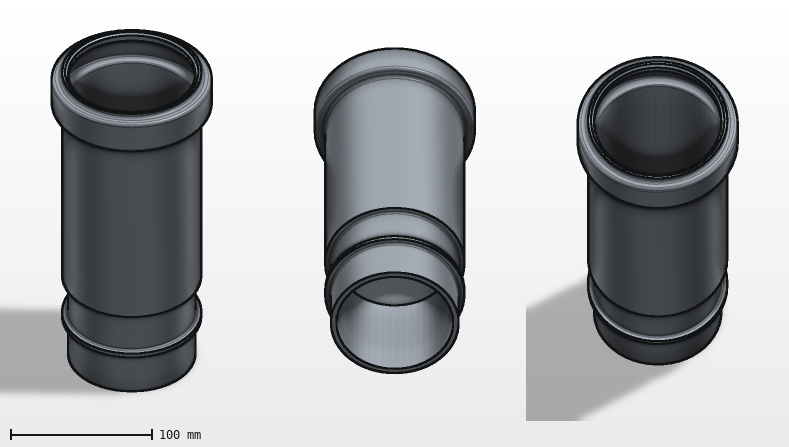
import cadquery as cq

length = 248.7
collar_radius = 56.83
body_radius = 49.37
tube_radius = 45.3
tube_wall = 4.0
body_wall = 4.2
collar_wall = 3.7

shoulder_z = 69.0
ring_bottom_z = 33.0
ring_top_z = 36.5
collar_bottom_z = 220.0
collar_top_z = 244.5

collar_round = 2.5
neck_fillet = 2.2
foot_fillet = 1.2

match_tolerance = 0.02

tube_bore_radius = tube_radius - tube_wall
body_bore_radius = body_radius - body_wall
body_bore_floor_z = shoulder_z + tube_wall
bore_floor_fillet = 2.5
mouth_radius = 45.0
mouth_lead_in = 2.2
mouth_lead_in_depth = 1.5
lip_edge_z = 242.8
groove_radius = collar_radius - collar_wall
groove_bottom_z = collar_bottom_z + collar_wall
groove_top_z = collar_top_z - collar_wall
groove_round = 1.2
ledge_round = 1.0


def cylinder(radius, bottom_z, top_z):
    """Upright cylinder on the pipe axis."""
    return cq.Workplane("XY").workplane(offset=bottom_z).circle(radius).extrude(top_z - bottom_z)


def circles_at(radius, *heights):
    """Selector for the circular edges of one radius at the given heights."""

    class CircleSelector(cq.Selector):
        def filter(self, objects):
            return [
                edge for edge in objects
                if edge.geomType() == "CIRCLE"
                and abs(edge.radius() - radius) < match_tolerance
                and any(abs(edge.Center().z - height) < match_tolerance for height in heights)
            ]

    return CircleSelector()


def outer_shape():
    """Stepped outside: tube with stop ring, body, collar and mouth lip."""
    shape = cylinder(tube_radius, 0, shoulder_z)
    shape = shape.union(cylinder(body_radius, ring_bottom_z, ring_top_z))
    shape = shape.union(cylinder(body_radius, shoulder_z, length))
    shape = shape.union(cylinder(collar_radius, collar_bottom_z, collar_top_z))
    shape = shape.edges(circles_at(collar_radius, collar_bottom_z, collar_top_z)).fillet(collar_round)
    shape = shape.edges(circles_at(body_radius, collar_bottom_z, collar_top_z)).fillet(neck_fillet)
    return shape.edges(circles_at(tube_radius, ring_bottom_z, ring_top_z, shoulder_z)).fillet(foot_fillet)


def seal_groove():
    """Wide round-cornered groove hollowing the collar."""
    return cylinder(groove_radius, groove_bottom_z, groove_top_z).edges().fillet(groove_round)


def body_bore():
    """Wider bore with a rounded corner where it meets its floor."""
    bore = cylinder(body_bore_radius, body_bore_floor_z, groove_bottom_z)
    return bore.faces("<Z").edges().fillet(bore_floor_fillet)


def mouth_opening():
    """Opening in the lip: lead-in cone above, 45 degree flare into the groove below."""
    flare = lip_edge_z - groove_top_z
    outline = [
        (0, groove_top_z),
        (mouth_radius + flare, groove_top_z),
        (mouth_radius, lip_edge_z),
        (mouth_radius, length - mouth_lead_in_depth),
        (mouth_radius + mouth_lead_in, length),
        (0, length),
    ]
    return cq.Workplane("XZ").polyline(outline).close().revolve(360, (0, 0), (0, 1))


def inner_space():
    """Through bore, wider body bore, seal groove and mouth opening."""
    space = cylinder(tube_bore_radius, 0, length)
    space = space.union(body_bore())
    space = space.union(seal_groove())
    return space.union(mouth_opening())


pipe = outer_shape().cut(inner_space())

result = pipe.edges(circles_at(body_bore_radius, groove_bottom_z)).fillet(ledge_round)